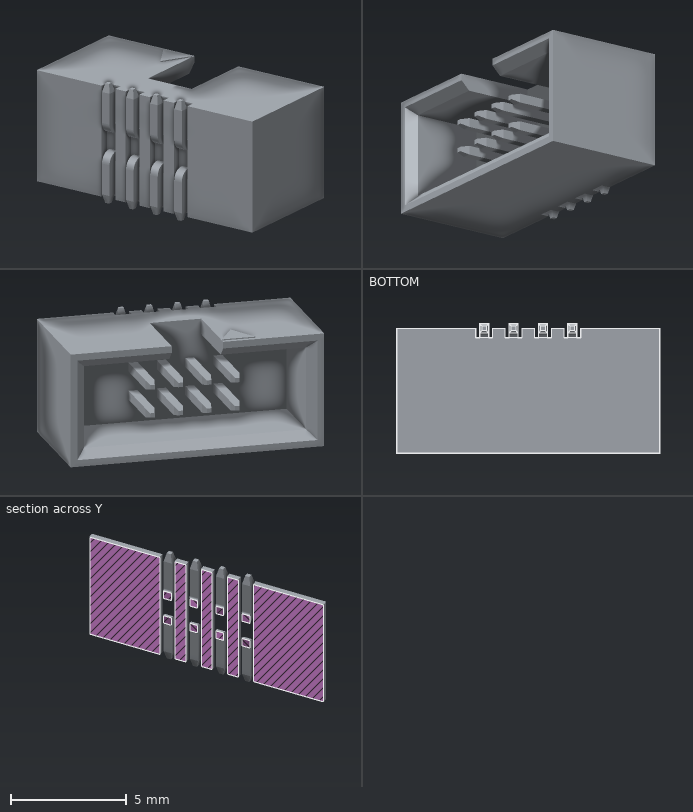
import cadquery as cq
import math

HOUSING_LENGTH = 11.38
HOUSING_DEPTH = 5.4
HOUSING_HEIGHT = 5.1
WALL = 0.7

CAVITY_DEPTH = 3.5
MOUTH_CHAMFER = 0.4
NOTCH_WIDTH = 2.31

PITCH = 1.27
COLUMNS = 4
COLUMN_XS = [(column - (COLUMNS - 1) / 2) * PITCH for column in range(COLUMNS)]
ROW_SIDES = (1, -1)
ROW_Z = PITCH / 2

PIN_SIZE = 0.4
PIN_OVERHANG = 0.2
LEG_TIP_Z = 2.75
MATING_TIP_Y = HOUSING_DEPTH - 0.4
BEND_OUTER_RADIUS = 0.5
BEND_INNER_RADIUS = BEND_OUTER_RADIUS - PIN_SIZE
TIP_LENGTH = 0.4
TIP_SIZE = 0.2

GROOVE_WIDTH = 0.72
GROOVE_DEPTH = 0.4

MARK_SIDE = 1.5
MARK_EDGE_GAP = 0.2
MARK_RAISE = 0.05


def box(x_size, y_start, y_end, z_size, x_center=0, z_center=0):
    """Box centred in X and Z that spans y_start to y_end."""
    y_size = y_end - y_start
    return cq.Workplane("XY").box(x_size, y_size, z_size).translate((x_center, y_start + y_size / 2, z_center))


def make_cavity():
    """Rectangular pocket whose mouth flares outward at the +Y face."""
    length = HOUSING_LENGTH - 2 * WALL
    height = HOUSING_HEIGHT - 2 * WALL
    pocket = box(length, HOUSING_DEPTH - CAVITY_DEPTH, HOUSING_DEPTH, height)
    flare = (
        cq.Workplane("XZ", origin=(0, HOUSING_DEPTH - MOUTH_CHAMFER, 0))
        .rect(length, height)
        .workplane(offset=-MOUTH_CHAMFER)
        .rect(length + 2 * MOUTH_CHAMFER, height + 2 * MOUTH_CHAMFER)
        .loft(ruled=True)
    )
    return pocket.union(flare)


def make_pin_one_mark():
    """Triangle with one side along X near the +Y face and its point toward -Y."""
    center_x = COLUMN_XS[0]
    base_y = HOUSING_DEPTH - MARK_EDGE_GAP
    point_y = base_y - MARK_SIDE * math.sin(math.radians(60))
    return (
        cq.Workplane("XY", origin=(0, 0, HOUSING_HEIGHT / 2))
        .moveTo(center_x - MARK_SIDE / 2, base_y)
        .lineTo(center_x + MARK_SIDE / 2, base_y)
        .lineTo(center_x, point_y)
        .close()
        .extrude(MARK_RAISE)
    )


def make_housing():
    housing = box(HOUSING_LENGTH, 0, HOUSING_DEPTH, HOUSING_HEIGHT)
    housing = housing.union(make_pin_one_mark())
    housing = housing.cut(make_cavity())
    notch_height = HOUSING_HEIGHT / 2
    notch = box(
        NOTCH_WIDTH, HOUSING_DEPTH - CAVITY_DEPTH, HOUSING_DEPTH, notch_height, z_center=notch_height / 2
    )
    housing = housing.cut(notch)
    for x in COLUMN_XS:
        housing = housing.cut(box(GROOVE_WIDTH, 0, GROOVE_DEPTH, HOUSING_HEIGHT, x))
        for side in ROW_SIDES:
            housing = housing.cut(box(PIN_SIZE, 0, HOUSING_DEPTH - CAVITY_DEPTH, PIN_SIZE, x, side * ROW_Z))
    return housing


def make_tip(plane):
    """Tapered square tip on the given plane, pointing along its normal."""
    return (
        cq.Workplane(plane)
        .rect(PIN_SIZE, PIN_SIZE)
        .workplane(offset=TIP_LENGTH)
        .rect(TIP_SIZE, TIP_SIZE)
        .loft(ruled=True)
    )


def make_upper_pin():
    """Pin of the upper row at X = 0, with its solder leg rising along +Z."""
    leg_front_y = -PIN_OVERHANG
    leg_back_y = leg_front_y + PIN_SIZE
    wire_bottom_z = ROW_Z - PIN_SIZE / 2
    wire_top_z = ROW_Z + PIN_SIZE / 2
    bend_y = leg_front_y + BEND_OUTER_RADIUS
    bend_z = wire_bottom_z + BEND_OUTER_RADIUS
    wire_end_y = MATING_TIP_Y - TIP_LENGTH
    leg_end_z = LEG_TIP_Z - TIP_LENGTH
    wire = (
        cq.Workplane("YZ")
        .moveTo(leg_front_y, leg_end_z)
        .lineTo(leg_front_y, bend_z)
        .radiusArc((bend_y, wire_bottom_z), -BEND_OUTER_RADIUS)
        .lineTo(wire_end_y, wire_bottom_z)
        .lineTo(wire_end_y, wire_top_z)
        .lineTo(bend_y, wire_top_z)
        .radiusArc((leg_back_y, bend_z), BEND_INNER_RADIUS)
        .lineTo(leg_back_y, leg_end_z)
        .close()
        .extrude(PIN_SIZE / 2, both=True)
    )
    leg_center_y = leg_front_y + PIN_SIZE / 2
    leg_tip = make_tip(cq.Plane(origin=(0, leg_center_y, leg_end_z), xDir=(1, 0, 0), normal=(0, 0, 1)))
    mating_tip = make_tip(cq.Plane(origin=(0, wire_end_y, ROW_Z), xDir=(1, 0, 0), normal=(0, 1, 0)))
    return wire.union(leg_tip).union(mating_tip)


def make_pins():
    """One separate solid for every pin; the lower row mirrors the upper row."""
    upper_pin = make_upper_pin()
    row_pins = (upper_pin, upper_pin.mirror("XY"))
    return [pin.translate((x, 0, 0)).solids().val() for pin in row_pins for x in COLUMN_XS]


housing = make_housing()
pins = make_pins()
result = cq.Compound.makeCompound([housing.solids().val(), *pins])